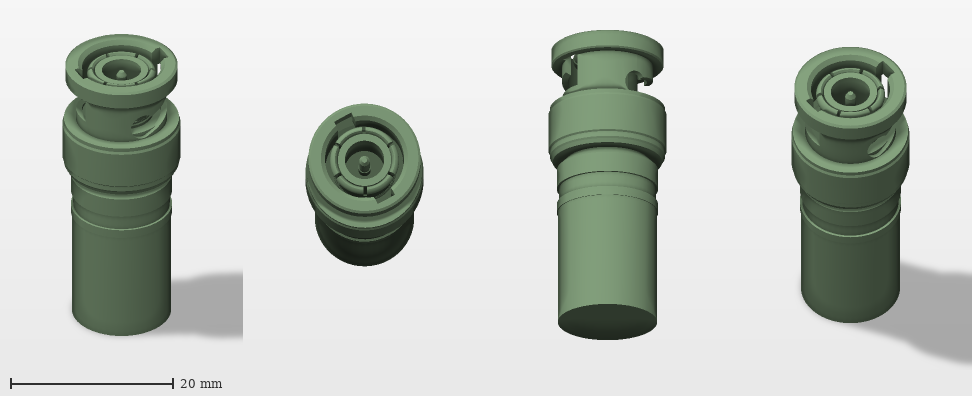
import cadquery as cq

TOTAL_HEIGHT = 36.1

BARREL_RADIUS = 6.15
BARREL_TOP = 14.48
RING_RADIUS = 6.25
RING_TOP = 15.6
GROOVE_RADIUS = 5.95
GROOVE_TOP = 17.58
SHOULDER_TOP = 20.1
SHOULDER_CONE_RISE = 1.1

COLLAR_RADIUS = 7.3
COLLAR_LIP_RADIUS = 7.1
COLLAR_BOTTOM = SHOULDER_TOP + SHOULDER_CONE_RISE
COLLAR_BOTTOM_RADIUS = 6.75
COLLAR_BEVEL_RADIUS = 6.95
COLLAR_BEVEL_Z = 21.65
LOWER_LIP_BOTTOM = 21.88
COLLAR_GRIP_BOTTOM = 22.7
COLLAR_GRIP_TOP = 27.35
COLLAR_CHAMFER = COLLAR_RADIUS - COLLAR_LIP_RADIUS
UPPER_LIP_BOTTOM = 27.65
COLLAR_TOP = 28.15

NECK_RADIUS = 5.63
HEAD_RADIUS = 6.93
HEAD_BOTTOM = 33.75
HEAD_TOP_CHAMFER_WIDTH = 0.3
HEAD_TOP_CHAMFER_HEIGHT = 0.2
HEAD_BOTTOM_CHAMFER = 0.18

CAVITY_RADIUS = 4.87
CAVITY_FLOOR = 28.88
CAVITY_CHAMFER = 0.5
FLOOR_PLUG_RADIUS = 5.15

SLEEVE_RADIUS = 3.72
SLEEVE_FOOT_RADIUS = 3.9
SLEEVE_FOOT_TOP = 29.25
SLEEVE_COLLAR_RADIUS = 3.75
SLEEVE_COLLAR_BOTTOM = 29.35
SLEEVE_COLLAR_TOP = 29.55
BULGE_BOTTOM = 33.85
BULGE_RADIUS = 4.25
BULGE_MIDDLE = 34.6
SLEEVE_TOP = 35.35
RIM_OUTER_RADIUS = 3.8
RIM_INNER_RADIUS = 3.65
MOUTH_RADIUS = 3.45
MOUTH_BEND_Z = 35.1
MOUTH_BOTTOM = 34.65
FINGER_COUNT = 6
FINGER_GAP = 0.45
FINGER_INNER_RADIUS = 3.5
INNER_GAP_BOTTOM = 30.05

INSULATOR_RADIUS = 3.3
INSULATOR_TOP = 35.13
INSULATOR_BORE_RADIUS = 2.42
PIN_RADIUS = 0.65
PIN_BASE_RADIUS = 0.75
PIN_BASE_TOP = 30.7
PIN_TAPER_BOTTOM = 34.35
PIN_TIP_RADIUS = 0.32
PIN_TOP = 34.9

ENTRY_WIDTH = 2.42
ENTRY_OUTER_REACH = 5.85
ENTRY_TILT = 3.5
LATCH_HOLE_RADIUS = 1.62
LATCH_HOLE_Z = 29.93
RAMP_SLOPE = 0.26
RAMP_BOTTOM_START = LATCH_HOLE_Z - LATCH_HOLE_RADIUS
RAMP_OPENING = 2.45


def revolved(profile):
    """Revolve a closed (radius, height) outline about the Z axis."""
    return cq.Workplane("XZ").polyline(profile).close().revolve(360, (0, 0), (0, 1))


def make_outer_body():
    return revolved([
        (0, 0),
        (BARREL_RADIUS, 0),
        (BARREL_RADIUS, BARREL_TOP),
        (RING_RADIUS, BARREL_TOP),
        (RING_RADIUS, RING_TOP),
        (GROOVE_RADIUS, RING_TOP),
        (GROOVE_RADIUS, GROOVE_TOP),
        (RING_RADIUS, GROOVE_TOP),
        (RING_RADIUS, SHOULDER_TOP),
        (RING_RADIUS - SHOULDER_CONE_RISE, COLLAR_BOTTOM),
        (COLLAR_BOTTOM_RADIUS, COLLAR_BOTTOM),
        (COLLAR_BEVEL_RADIUS, COLLAR_BEVEL_Z),
        (COLLAR_LIP_RADIUS, LOWER_LIP_BOTTOM),
        (COLLAR_LIP_RADIUS, COLLAR_GRIP_BOTTOM - COLLAR_CHAMFER),
        (COLLAR_RADIUS, COLLAR_GRIP_BOTTOM),
        (COLLAR_RADIUS, COLLAR_GRIP_TOP),
        (COLLAR_LIP_RADIUS, UPPER_LIP_BOTTOM),
        (COLLAR_LIP_RADIUS, COLLAR_TOP),
        (NECK_RADIUS, COLLAR_TOP),
        (NECK_RADIUS, HEAD_BOTTOM),
        (HEAD_RADIUS - HEAD_BOTTOM_CHAMFER, HEAD_BOTTOM),
        (HEAD_RADIUS, HEAD_BOTTOM + HEAD_BOTTOM_CHAMFER),
        (HEAD_RADIUS, TOTAL_HEIGHT - HEAD_TOP_CHAMFER_HEIGHT),
        (HEAD_RADIUS - HEAD_TOP_CHAMFER_WIDTH, TOTAL_HEIGHT),
        (0, TOTAL_HEIGHT),
    ])


def make_cavity():
    return revolved([
        (0, CAVITY_FLOOR),
        (CAVITY_RADIUS, CAVITY_FLOOR),
        (CAVITY_RADIUS, TOTAL_HEIGHT - CAVITY_CHAMFER),
        (CAVITY_RADIUS + CAVITY_CHAMFER, TOTAL_HEIGHT),
        (0, TOTAL_HEIGHT),
    ])


def make_bayonet_slot():
    """Entry slot at -Y, sloped slot and latch hole at -X, limited to the nut wall."""
    far = ENTRY_OUTER_REACH
    floor_far = RAMP_BOTTOM_START + RAMP_SLOPE * far
    ceiling_start = RAMP_BOTTOM_START + RAMP_OPENING
    ramp = [(0, RAMP_BOTTOM_START), (-far, floor_far)]
    above_ramp = (
        cq.Workplane("YZ")
        .polyline(ramp + [(-far, TOTAL_HEIGHT), (0, TOTAL_HEIGHT)])
        .close()
        .extrude(far, both=True)
    )
    entry = (
        cq.Workplane("XY")
        .box(ENTRY_WIDTH, far, TOTAL_HEIGHT, centered=(True, False, False))
        .translate((0, -far, 0))
        .rotate((0, 0, 0), (0, 0, 1), -ENTRY_TILT)
        .intersect(above_ramp)
    )
    sloped = (
        cq.Workplane("YZ")
        .polyline(ramp + [(-far, floor_far + RAMP_OPENING), (0, ceiling_start)])
        .close()
        .extrude(-far)
    )
    latch_hole = cq.Workplane("YZ").center(0, LATCH_HOLE_Z).circle(LATCH_HOLE_RADIUS).extrude(-far)
    core = cq.Workplane("XY").circle(CAVITY_RADIUS).extrude(TOTAL_HEIGHT)
    core = core.union(cq.Workplane("XY").circle(FLOOR_PLUG_RADIUS).extrude(CAVITY_FLOOR))
    return entry.union(sloped).union(latch_hole).cut(core)


def make_finger_gap(inner_radius, bottom):
    """Radial slit along +X from inner_radius out past the finger bulge."""
    return (
        cq.Workplane("XY", origin=(inner_radius, 0, bottom))
        .box(BULGE_RADIUS, FINGER_GAP, TOTAL_HEIGHT - bottom, centered=(False, True, False))
    )


def make_contact_sleeve():
    """Insulator and finger sleeve as one turned core, then slit into fingers."""
    core = (
        cq.Workplane("XZ")
        .moveTo(INSULATOR_BORE_RADIUS, CAVITY_FLOOR)
        .lineTo(SLEEVE_FOOT_RADIUS, CAVITY_FLOOR)
        .lineTo(SLEEVE_FOOT_RADIUS, SLEEVE_FOOT_TOP)
        .lineTo(SLEEVE_COLLAR_RADIUS, SLEEVE_COLLAR_BOTTOM)
        .lineTo(SLEEVE_COLLAR_RADIUS, SLEEVE_COLLAR_TOP)
        .lineTo(SLEEVE_RADIUS, SLEEVE_COLLAR_TOP)
        .lineTo(SLEEVE_RADIUS, BULGE_BOTTOM)
        .threePointArc((BULGE_RADIUS, BULGE_MIDDLE), (RIM_OUTER_RADIUS, SLEEVE_TOP))
        .lineTo(RIM_INNER_RADIUS, SLEEVE_TOP)
        .lineTo(MOUTH_RADIUS, MOUTH_BEND_Z)
        .lineTo(INSULATOR_RADIUS, MOUTH_BOTTOM)
        .lineTo(INSULATOR_RADIUS, INSULATOR_TOP)
        .lineTo(INSULATOR_BORE_RADIUS, INSULATOR_TOP)
        .close()
        .revolve(360, (0, 0), (0, 1))
    )
    gap = make_finger_gap(INSULATOR_RADIUS, INNER_GAP_BOTTOM)
    gap = gap.union(make_finger_gap(FINGER_INNER_RADIUS, SLEEVE_COLLAR_TOP))
    for i in range(FINGER_COUNT):
        core = core.cut(gap.rotate((0, 0, 0), (0, 0, 1), i * 360 / FINGER_COUNT))
    return core


def make_pin():
    return revolved([
        (0, CAVITY_FLOOR),
        (PIN_BASE_RADIUS, CAVITY_FLOOR),
        (PIN_BASE_RADIUS, PIN_BASE_TOP),
        (PIN_RADIUS, PIN_BASE_TOP),
        (PIN_RADIUS, PIN_TAPER_BOTTOM),
        (PIN_TIP_RADIUS, PIN_TOP),
        (0, PIN_TOP),
    ])


nut_and_body = make_outer_body().cut(make_cavity())
slot = make_bayonet_slot()
for turn in (0, 180):
    nut_and_body = nut_and_body.cut(slot.rotate((0, 0, 0), (0, 0, 1), turn))

result = nut_and_body.union(make_contact_sleeve()).union(make_pin())